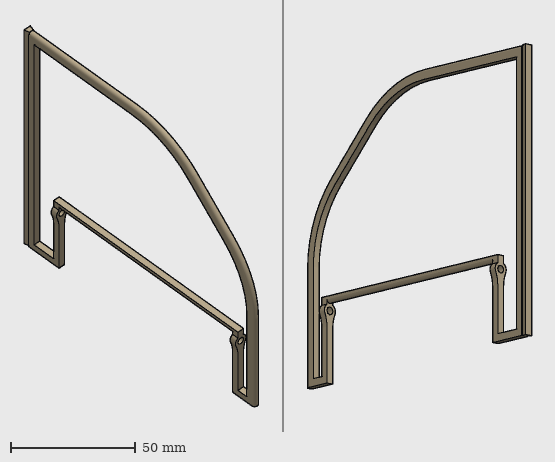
import cadquery as cq
import math

length = 132.8
height = 120.0
bar = 3.2
half_bar = bar / 2
cap_rise = 1.3
rail_depth = bar + cap_rise

strip_width = 2.5
strip_outer_half = 1.79
strip_neck_half = 1.0

bend_radius = 49.9
bend_start_x = 62.0
bend_end_z = bend_start_x + height - length

left_leg_x = 16.9
right_leg_x = 120.0
leg_top = 35.9
crossbar_flat = 1.5

lug_radius = 2.99
lug_z = 30.0
lug_bottom = 23.1
pin_hole = 3.0


def block(x0, x1, z0, z1):
    """Rectangular bar of standard thickness, centred on Y = 0."""
    return cq.Workplane("XY").box(x1 - x0, bar, z1 - z0, centered=False).translate((x0, -half_bar, z0))


def dovetail_strip():
    return (
        cq.Workplane("XY")
        .moveTo(0, -strip_outer_half)
        .lineTo(strip_width, -strip_neck_half)
        .lineTo(strip_width, strip_neck_half)
        .lineTo(0, strip_outer_half)
        .close()
        .extrude(height)
    )


def outer_rail():
    """Round-edged rail swept along the top, round the bend and down the right side."""
    sin45 = math.sin(math.radians(45))
    sin22 = math.sin(math.radians(22.5))
    cos22 = math.cos(math.radians(22.5))
    upper_center_z = height - bend_radius
    lower_center_x = length - bend_radius
    reach = bend_radius * sin45
    path = (
        cq.Workplane("XZ")
        .moveTo(strip_width, height)
        .lineTo(bend_start_x, height)
        .threePointArc(
            (bend_start_x + bend_radius * sin22, upper_center_z + bend_radius * cos22),
            (bend_start_x + reach, upper_center_z + reach),
        )
        .lineTo(lower_center_x + reach, bend_end_z + reach)
        .threePointArc(
            (lower_center_x + bend_radius * cos22, bend_end_z + bend_radius * sin22),
            (length, bend_end_z),
        )
        .lineTo(length, 0)
    )
    return (
        cq.Workplane("YZ", origin=(strip_width, 0, height))
        .moveTo(-half_bar, -rail_depth)
        .lineTo(-half_bar, -cap_rise)
        .threePointArc((0, 0), (half_bar, -cap_rise))
        .lineTo(half_bar, -rail_depth)
        .close()
        .sweep(path)
    )


def crossbar():
    """Bar between the legs with a flat top and a rounded underside."""
    cap_z = leg_top - crossbar_flat
    return (
        cq.Workplane("YZ", origin=(left_leg_x, 0, 0))
        .moveTo(-half_bar, leg_top)
        .lineTo(-half_bar, cap_z)
        .threePointArc((0, cap_z - cap_rise), (half_bar, cap_z))
        .lineTo(half_bar, leg_top)
        .close()
        .extrude(right_leg_x + bar - left_leg_x)
    )


def lug(x):
    """Round eye that blends down into both faces of a leg through tangent concave arcs."""
    drop = lug_z - lug_bottom
    blend_radius = (half_bar**2 + drop**2 - lug_radius**2) / (2 * (lug_radius - half_bar))
    blend_y = half_bar + blend_radius
    tangent_angle = math.atan2(drop, blend_y)
    mid_angle = tangent_angle / 2
    tangent_y = lug_radius * math.cos(tangent_angle)
    tangent_z = lug_z - lug_radius * math.sin(tangent_angle)
    mid_y = blend_y - blend_radius * math.cos(mid_angle)
    mid_z = lug_bottom + blend_radius * math.sin(mid_angle)
    return (
        cq.Workplane("YZ", origin=(x, 0, 0))
        .moveTo(-half_bar, lug_bottom)
        .threePointArc((-mid_y, mid_z), (-tangent_y, tangent_z))
        .threePointArc((0, lug_z + lug_radius), (tangent_y, tangent_z))
        .threePointArc((mid_y, mid_z), (half_bar, lug_bottom))
        .close()
        .extrude(bar)
    )


def leg(x):
    body = block(x, x + bar, 0, leg_top).union(lug(x))
    hole = cq.Workplane("YZ", origin=(x, 0, 0)).center(0, lug_z).circle(pin_hole / 2).extrude(bar)
    return body.cut(hole)


left_post = block(strip_width, strip_width + bar, 0, height - cap_rise)
left_foot = block(strip_width, left_leg_x + bar, 0, bar)
right_foot = block(right_leg_x, length - cap_rise, 0, bar)

result = outer_rail()
for piece in (
    dovetail_strip(),
    left_post,
    left_foot,
    right_foot,
    crossbar(),
    leg(left_leg_x),
    leg(right_leg_x),
):
    result = result.union(piece)